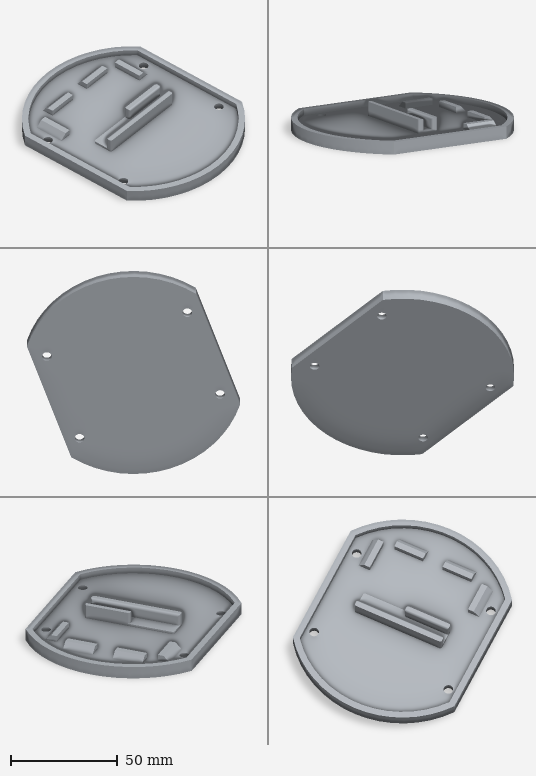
import cadquery as cq

plate_radius = 52.3
plate_depth = 84.0
plate_height = 6.0
wall = 3.0
floor = 3.0

hole_diameter = 4.5
hole_left_x = -23.0
hole_right_x = 23.0
hole_y = 34.9

wedge_length = 15.0
wedge_height = 2.9
wedge_width = 2 * wedge_height
side_wedge_inner_x = -32.7
side_wedge_y = 12.6
end_wedge_x = -25.2
end_wedge_inner_y = 25.5

pad_width = 10.5
pad_length = 45.2
pad_thickness = 1.2
total_height = 9.8
short_rail_width = 2.9
short_rail_end_y = -0.1
long_rail_width = 3.2
rail_round = 0.9
long_rail_inner_round = 1.3

pad_top = floor + pad_thickness
rail_height = total_height - pad_top


def flatted_disc(radius, depth, height):
    """Disc trimmed by flats at +Y and -Y, standing on Z = 0."""
    disc = cq.Workplane("XY").circle(radius).extrude(height)
    band = cq.Workplane("XY").box(2 * radius, depth, height, centered=(True, True, False))
    return disc.intersect(band)


def wedge(inner_distance, along, angle):
    """Wedge sloping away from the centre, on the -X side before turning about Z by angle."""
    inner_x = -inner_distance
    return (
        cq.Workplane("XZ", origin=(0, along + wedge_length / 2, floor))
        .moveTo(inner_x, 0)
        .lineTo(inner_x, wedge_height)
        .lineTo(inner_x - wedge_width + wedge_height, wedge_height)
        .lineTo(inner_x - wedge_width, 0)
        .close()
        .extrude(wedge_length)
        .rotate((0, 0, 0), (0, 0, 1), angle)
    )


def block(x_min, x_max, y_min, y_max, z_min, height):
    """Box given by its X and Y limits, its base level and its height."""
    return (
        cq.Workplane("XY", origin=(x_min, y_min, z_min))
        .box(x_max - x_min, y_max - y_min, height, centered=False)
    )


cavity = flatted_disc(plate_radius - wall, plate_depth - 2 * wall, plate_height)
result = flatted_disc(plate_radius, plate_depth, plate_height).cut(cavity.translate((0, 0, floor)))

hole_points = [(x, y) for x in (hole_left_x, hole_right_x) for y in (-hole_y, hole_y)]
holes = cq.Workplane("XY").pushPoints(hole_points).circle(hole_diameter / 2).extrude(floor)
result = result.cut(holes)

for y in (-side_wedge_y, side_wedge_y):
    result = result.union(wedge(-side_wedge_inner_x, y, 0))
result = result.union(wedge(end_wedge_inner_y, end_wedge_x, -90))
result = result.union(wedge(end_wedge_inner_y, -end_wedge_x, 90))

half_width = pad_width / 2
half_length = pad_length / 2
pad = block(-half_width, half_width, -half_length, half_length, floor, pad_thickness)
pad = pad.edges("|Z").fillet(rail_round)

short_rail = block(
    -half_width, short_rail_width - half_width, short_rail_end_y, half_length, pad_top, rail_height
)
short_crest = short_rail.edges(">X and >Z").fillet(rail_round)
short_rail = short_rail.edges("|Z").fillet(rail_round).intersect(short_crest)

long_rail = block(
    half_width - long_rail_width, half_width, -half_length, half_length, pad_top, rail_height
)
long_crest = long_rail.edges("<X and >Z").fillet(long_rail_inner_round)
long_rail = long_rail.edges("|Z and >X").fillet(rail_round)
long_rail = long_rail.edges("|Z and <X").fillet(long_rail_inner_round).intersect(long_crest)

result = result.union(pad).union(short_rail).union(long_rail)